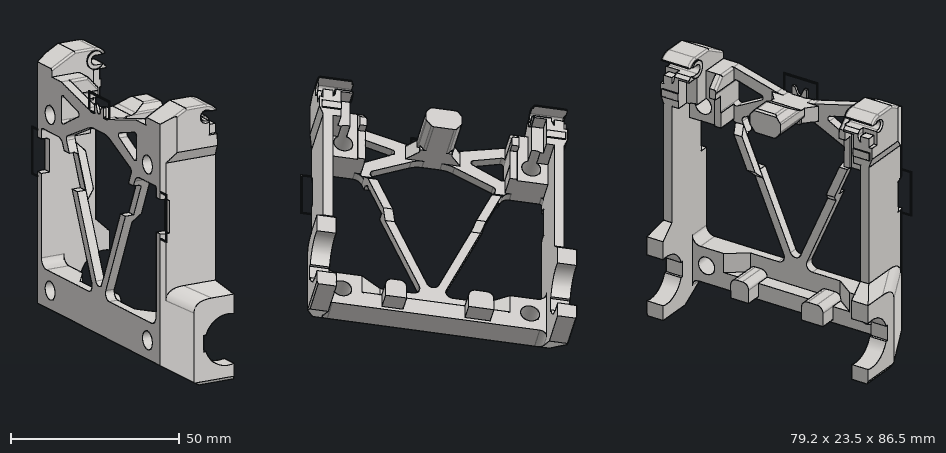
import cadquery as cq
import math

HEIGHT = 86.5
FACE_HALF = 36.0
TAPER = math.tan(math.radians(20))
WALL_X = 36.6
WALL_DEPTH = 18.75
OPENING_X = 33.6
WEB = 3.0
CORNER_DEPTH = 9.4

OPENING_CORNER_R = 2.9
OPENING_TOP_R = 0.7
LEG_FOOT_R = 2.1
LEG_HEAD_R = 3.0
APEX_R = 1.9
ARCH_CORNER_R = 1.2
ARCH_CROWN_R = 9.0
WINDOW_R = 0.9

BAR_BOTTOM = 7.0
BAR_TOP = 18.9
CORNER_BOTTOM = 62.3
SHOULDER_Z = 79.8
CREST_Z = 75.5
ARCH_Z = 70.4

FOOT_X = 39.5
FOOT_DEPTH = 23.5
FOOT_SLOPE_LOW = 26.6
FOOT_SLOPE_HIGH = 30.95
FOOT_TOE_Y = 11.5
FOOT_CHAMFER = (0.4, 1.0)
FOOT_BLEND = 9.5
FOOT_CORNER_R = 2.1
CRADLE_R = 8.0
CRADLE_Y, CRADLE_Z = 21.4, 12.75
CRADLE_SLOT_Y = 13.0
CRADLE_SLOT_W = 5.1

EAR_INNER, EAR_OUTER = 27.55, 37.75
EAR_FLARE_LOW, EAR_FLARE_HIGH = 70.1, 73.2
EAR_FACE_TOP = 82.3
EAR_TOP_FRONT, EAR_TOP_BACK = 7.9, 14.9
EAR_TIP_Y, EAR_TIP_Z = 18.5, 84.7
EAR_BACK_R = 4.5
EAR_EDGE = 0.6
EAR_BACK_CHAMFER = 1.0
SLOT_R = 1.5
SLOT_Y, SLOT_Z = 14.9, 82.8
SLOT_CHAMFER = 0.55
LIP_R, LIP_X, LIP_BACK = 2.85, 27.1, 17.4
RELIEF_X, RELIEF_Y, RELIEF_Z = 31.2, 14.4, 79.7
POCKET_Y, POCKET_LOW, POCKET_HIGH = 16.0, 76.9, 79.9
POCKET_DEPTH = 5.0
PAD_X, PAD_DEPTH, PAD_LOW, PAD_HIGH = 37.0, 19.2, 72.7, 75.2

HOLE_D = 5.75
HOLE_X = 28.55
HOLE_Z = (12.95, 67.75)

LEG_LEAN = 0.437
LEG_INNER_APEX = 19.2
LEG_SPREAD = 3.0
ARCH_CORNER_X, ARCH_CORNER_Z = 19.35, 63.5
ARCH_FLAT = 4.75
WINDOW_X = 22.0
WINDOW_TIP = (10.1, 72.6)
WINDOW_LOW, WINDOW_HIGH = 66.35, 76.0
CREST_SHOULDER_X, CREST_EDGE_X = 22.0, 5.5
CREST_ROUND = 9.5

NOTCH_LOW, NOTCH_HIGH, NOTCH_DEPTH = 48.1, 58.8, 2.85
NOTCH_CHAMFER = (1.0, 0.6)
BULGE_DEPTH = 5.6

STRIP_DEPTH, STRIP_TOP = 7.7, 12.5
RAMP_THIN_X, RAMP_THICK_X = 16.0, 22.5
HOOK_EDGE = 0.7
HOOK_X, HOOK_W, HOOK_DEPTH = 21.9, 2.3, 12.7
HOOK_ROOT_Y, HOOK_LOW, HOOK_HIGH = 10.0, 73.0, 76.2

ARM_HALF, ARM_TOP_HALF = 5.5, 3.6
ARM_TOP, ARM_SHOULDER = 78.3, 75.9
ARM_ROUND, ARM_EDGE = 1.0, 0.6
ARM_BACK, ARM_RAMP_LOW, ARM_RAMP_HIGH = 19.3, 9.6, 13.4
ARM_BASE_DEPTH, ARM_BASE_HALF, ARM_BASE_FOOT, ARM_BASE_STRAIGHT = 8.0, 4.9, 8.3, 1.0
TAB_HALF, TAB_DEPTH = 2.65, 0.9
TAB_GROOVE_HALF, TAB_GROOVE_Z, TAB_GROOVE_R = 1.6, 74.7, 0.7
LEDGE_HALF, LEDGE_DROP, LEDGE_DEPTH = 4.9, 0.35, 0.3

POST_LOW, POST_TOP, POST_BACK, POST_ROUND = 8.0, 14.7, 13.0, 2.2
POSTS = ((-16.45, -8.8), (10.05, 16.45))

WIRE_DEPTH = 0.25
WIDTH_OVER_LOOPS = 79.17
SIDE_LOOP_X = WIDTH_OVER_LOOPS / 2
SIDE_LOOP_Z = (46.4, 61.3)
SIDE_LOOP_RAIL, SIDE_LOOP_END = 0.55, 0.35
TOP_LOOP_HALF, TOP_LOOP_Z = 6.1, 81.4
TOP_LOOP_RAIL, TOP_LOOP_END = 0.5, 0.4

REACH = 100.0


def box(x0, x1, y0, y1, z0, z1):
    return cq.Workplane("XY").box(x1 - x0, y1 - y0, z1 - z0, centered=False).translate((x0, y0, z0))


def prism_y(points, y0, y1):
    """Extrude an (x, z) outline from y0 to y1."""
    return cq.Workplane("XZ", origin=(0, y0, 0)).polyline(points).close().extrude(y0 - y1)


def prism_x(points, x0, x1):
    """Extrude a (y, z) outline from x0 to x1."""
    return cq.Workplane("YZ", origin=(x0, 0, 0)).polyline(points).close().extrude(x1 - x0)


def prism_z(points, z0, z1):
    """Extrude an (x, y) outline from z0 to z1."""
    return cq.Workplane("XY", origin=(0, 0, z0)).polyline(points).close().extrude(z1 - z0)


def rod_x(y, z, radius, x0, x1):
    return cq.Workplane("YZ", origin=(x0, 0, 0)).center(y, z).circle(radius).extrude(x1 - x0)


def round_at(body, x, z, radius):
    """Round the edge along y that passes through (x, z)."""
    span = 0.05
    picker = cq.selectors.BoxSelector((x - span, -REACH, z - span), (x + span, REACH, z + span))
    return body.edges("|Y").edges(picker).fillet(radius)


def edges_on_plane(x, low_z, back_y):
    """Select edges in the plane at x whose middle is above low_z and in front of back_y."""
    span = 0.05
    return cq.selectors.BoxSelector((x - span, -1, low_z), (x + span, back_y, REACH))


def both_sides(body):
    return body.union(body.mirror("YZ"))


def leg_x(z, outer):
    """x of the inner or outer side of the right-hand leg at height z."""
    return LEG_LEAN * (z - LEG_INNER_APEX) + (LEG_SPREAD if outer else 0.0)


def taper_envelope():
    """Everything inside the leaning outer side."""
    return prism_z([(0, 0), (FACE_HALF, 0), (FACE_HALF + TAPER * REACH, REACH), (0, REACH)], -1, REACH)


def front_plate(depth):
    outline = [(0, BAR_BOTTOM), (WALL_X, BAR_BOTTOM), (WALL_X, SHOULDER_Z),
               (CREST_SHOULDER_X, SHOULDER_Z), (CREST_EDGE_X, CREST_Z), (0, CREST_Z)]
    return round_at(prism_y(outline, 0, depth), CREST_EDGE_X, CREST_Z, CREST_ROUND)


def thick_corners():
    upper = box(HOOK_X + HOOK_W, WALL_X, 0, CORNER_DEPTH, CORNER_BOTTOM, SHOULDER_Z)
    lower = prism_z([(0, 0), (WALL_X, 0), (WALL_X, STRIP_DEPTH), (RAMP_THICK_X, STRIP_DEPTH),
                     (RAMP_THIN_X, WEB), (0, WEB)], BAR_BOTTOM, BAR_TOP + OPENING_CORNER_R)
    strip = box(0, WALL_X, 0, STRIP_DEPTH, BAR_BOTTOM, STRIP_TOP)
    return upper.union(lower).union(strip)


def hook():
    outline = [(0, CORNER_BOTTOM), (HOOK_ROOT_Y, CORNER_BOTTOM), (HOOK_ROOT_Y, HOOK_LOW),
               (HOOK_DEPTH, HOOK_LOW), (HOOK_DEPTH, HOOK_HIGH), (CORNER_DEPTH, SHOULDER_Z), (0, SHOULDER_Z)]
    body = prism_x(outline, HOOK_X, HOOK_X + HOOK_W)
    return body.edges(edges_on_plane(HOOK_X, HOOK_HIGH + 1, CORNER_DEPTH + HOOK_DEPTH)).fillet(HOOK_EDGE)


def leg_bulge():
    """Raised back of the leg that carries it past the notch."""
    rise = BULGE_DEPTH - WEB
    side = prism_x([(WEB, NOTCH_LOW - rise), (BULGE_DEPTH, NOTCH_LOW), (BULGE_DEPTH, NOTCH_HIGH),
                    (WEB, NOTCH_HIGH + rise)], 0, WALL_X)
    z0, z1 = NOTCH_LOW - rise, NOTCH_HIGH + rise
    leg = prism_y([(leg_x(z0, False), z0), (leg_x(z0, True), z0),
                   (leg_x(z1, True), z1), (leg_x(z1, False), z1)], 0, BULGE_DEPTH)
    return side.intersect(leg)


def central_opening():
    """The full-width opening under the arch and between the legs."""
    points = [(0, LEG_INNER_APEX), (ARCH_CORNER_X, ARCH_CORNER_Z), (ARCH_FLAT, ARCH_Z),
              (-ARCH_FLAT, ARCH_Z), (-ARCH_CORNER_X, ARCH_CORNER_Z)]
    opening = prism_y(points, -1, WEB + 1)
    opening = round_at(opening, 0, LEG_INNER_APEX, APEX_R)
    for side in (-1, 1):
        opening = round_at(opening, side * ARCH_CORNER_X, ARCH_CORNER_Z, ARCH_CORNER_R)
        opening = round_at(opening, side * ARCH_FLAT, ARCH_Z, ARCH_CROWN_R)
    return opening


def side_opening():
    bottom_x = leg_x(BAR_TOP, True)
    top_x = leg_x(CORNER_BOTTOM, True)
    opening = prism_y([(bottom_x, BAR_TOP), (OPENING_X, BAR_TOP), (OPENING_X, CORNER_BOTTOM),
                       (top_x, CORNER_BOTTOM)], -1, REACH)
    opening = round_at(opening, bottom_x, BAR_TOP, LEG_FOOT_R)
    opening = round_at(opening, OPENING_X, BAR_TOP, OPENING_CORNER_R)
    opening = round_at(opening, OPENING_X, CORNER_BOTTOM, OPENING_TOP_R)
    return round_at(opening, top_x, CORNER_BOTTOM, LEG_HEAD_R)


def window():
    points = [WINDOW_TIP, (WINDOW_X, WINDOW_LOW), (WINDOW_X, WINDOW_HIGH)]
    return prism_y(points, -1, REACH).edges("|Y").fillet(WINDOW_R)


def screw_holes():
    spots = [(HOLE_X, z) for z in HOLE_Z]
    return cq.Workplane("XZ", origin=(0, -1, 0)).pushPoints(spots).circle(HOLE_D / 2).extrude(-REACH)


def notch():
    """Shallow channel across the front of the legs and side walls."""
    chamfer_y, chamfer_z = NOTCH_CHAMFER
    return prism_x([(-1, NOTCH_LOW), (NOTCH_DEPTH, NOTCH_LOW), (NOTCH_DEPTH, NOTCH_HIGH - chamfer_z),
                    (NOTCH_DEPTH - chamfer_y, NOTCH_HIGH), (-1, NOTCH_HIGH)], 0, REACH)


def foot():
    side = prism_x([(0, BAR_BOTTOM), (FOOT_TOE_Y, 0), (FOOT_DEPTH, 0), (FOOT_DEPTH, FOOT_SLOPE_LOW),
                    (WALL_DEPTH, FOOT_SLOPE_HIGH), (0, FOOT_SLOPE_HIGH)], 0, REACH)
    chamfer_x, chamfer_z = FOOT_CHAMFER
    face = prism_y([(OPENING_X, 0), (FOOT_X - chamfer_x, 0), (FOOT_X, chamfer_z), (FOOT_X, FOOT_SLOPE_LOW),
                    (WALL_X, FOOT_SLOPE_HIGH), (OPENING_X, FOOT_SLOPE_HIGH)], 0, FOOT_DEPTH)
    body = side.intersect(face).intersect(taper_envelope())
    blend_y = ((WALL_X - FACE_HALF) / TAPER + (FOOT_X - FACE_HALF) / TAPER) / 2
    middle = ((WALL_X + FOOT_X) / 2, blend_y, (FOOT_SLOPE_LOW + FOOT_SLOPE_HIGH) / 2)
    return body.edges(cq.selectors.NearestToPointSelector(middle)).fillet(FOOT_BLEND)


def cradle():
    """Round seat across the foot, with a flat-bottomed slot in its floor."""
    seat = rod_x(CRADLE_Y, CRADLE_Z, CRADLE_R, 0, REACH)
    slot = box(0, REACH, CRADLE_SLOT_Y, CRADLE_Y,
               CRADLE_Z - CRADLE_SLOT_W / 2, CRADLE_Z + CRADLE_SLOT_W / 2)
    return seat.union(slot)


def foot_corner():
    """Concave fillet between the foot and the underside of the lower bar."""
    block = box(OPENING_X - FOOT_CORNER_R, OPENING_X, 0, STRIP_DEPTH, BAR_BOTTOM - FOOT_CORNER_R, BAR_BOTTOM)
    scoop = cq.Workplane("XZ").center(OPENING_X - FOOT_CORNER_R, BAR_BOTTOM - FOOT_CORNER_R)
    block = block.cut(scoop.circle(FOOT_CORNER_R).extrude(-REACH))
    sole = prism_x([(0, BAR_BOTTOM), (FOOT_TOE_Y, 0), (FOOT_TOE_Y, BAR_BOTTOM)], 0, REACH)
    return block.intersect(sole)


def ear_slot():
    """Slot through the ear, open at the back and round at its inner end."""
    slot = box(0, REACH, SLOT_Y, REACH, SLOT_Z - SLOT_R, SLOT_Z + SLOT_R)
    return slot.union(rod_x(SLOT_Y, SLOT_Z, SLOT_R, 0, REACH))


def slot_countersink():
    """Cone that chamfers the round end of the slot on the outer face."""
    cone = cq.Workplane("YZ", origin=(EAR_OUTER, SLOT_Y, SLOT_Z)).circle(SLOT_R + SLOT_CHAMFER)
    return cone.workplane(offset=-SLOT_CHAMFER).circle(SLOT_R).loft()


def ear_pocket():
    """Recess with a rounded floor in the outer back corner below the slot."""
    radius = POCKET_HIGH - POCKET_LOW
    inner_x = EAR_OUTER - POCKET_DEPTH
    scoop_x = inner_x + radius
    upper = box(inner_x, REACH, POCKET_Y, REACH, POCKET_HIGH, SLOT_Z)
    lower = box(scoop_x, REACH, POCKET_Y, REACH, POCKET_LOW, SLOT_Z)
    scoop = cq.Workplane("XZ", origin=(scoop_x, POCKET_Y, POCKET_HIGH)).circle(radius).extrude(-REACH)
    return upper.union(lower).union(scoop)


def ear_body():
    """Solid ear with a flared underside, a rounded top back and softened side edges."""
    slot_low, slot_high = SLOT_Z - SLOT_R, SLOT_Z + SLOT_R
    side = cq.Workplane("YZ").polyline([
        (EAR_TOP_BACK, HEIGHT), (EAR_TOP_FRONT, HEIGHT), (0, EAR_FACE_TOP), (0, EAR_FLARE_LOW),
        (WALL_DEPTH, EAR_FLARE_LOW), (WALL_DEPTH, slot_low - EAR_BACK_CHAMFER),
        (WALL_DEPTH - EAR_BACK_CHAMFER, slot_low), (EAR_TIP_Y, slot_high), (EAR_TIP_Y, EAR_TIP_Z)])
    side = side.radiusArc((EAR_TOP_BACK, HEIGHT), -EAR_BACK_R).close().extrude(REACH)
    face = prism_y([(EAR_INNER, EAR_FLARE_LOW), (WALL_X, EAR_FLARE_LOW), (EAR_OUTER, EAR_FLARE_HIGH),
                    (EAR_OUTER, HEIGHT), (EAR_INNER, HEIGHT)], 0, REACH)
    body = side.intersect(face).intersect(taper_envelope())
    tip_margin = 0.1
    for plane_x in (EAR_INNER, EAR_OUTER):
        picker = edges_on_plane(plane_x, EAR_FACE_TOP + 1, EAR_TIP_Y - tip_margin)
        body = body.edges(picker).fillet(EAR_EDGE)
    return body


def ear():
    lip = rod_x(SLOT_Y, SLOT_Z, LIP_R, LIP_X, EAR_INNER)
    lip = lip.intersect(box(LIP_X, EAR_INNER, 0, LIP_BACK, 0, HEIGHT))
    relief = box(0, RELIEF_X, RELIEF_Y, REACH, 0, RELIEF_Z)
    pad = box(RELIEF_X, PAD_X, WALL_DEPTH - 1, PAD_DEPTH, PAD_LOW, PAD_HIGH)
    body = ear_body().union(lip).cut(relief).cut(ear_pocket())
    return body.cut(ear_slot()).cut(slot_countersink()).union(pad)


def side_wall():
    wall = box(OPENING_X, WALL_X, 0, WALL_DEPTH, BAR_BOTTOM, SHOULDER_Z)
    return wall.intersect(taper_envelope())


def side_loop():
    low, high = SIDE_LOOP_Z
    loop = box(OPENING_X, SIDE_LOOP_X, 0, WIRE_DEPTH, low, high)
    hollow = box(0, SIDE_LOOP_X - SIDE_LOOP_RAIL, -1, 1, low + SIDE_LOOP_END, high - SIDE_LOOP_END)
    return loop.cut(hollow)


def arm():
    """Central arm reaching back from the crest, on a thickened base."""
    low_shoulder = ARCH_Z + ARM_TOP - ARM_SHOULDER
    profile = prism_y([(-ARM_HALF, ARM_SHOULDER), (-ARM_TOP_HALF, ARM_TOP), (ARM_TOP_HALF, ARM_TOP),
                       (ARM_HALF, ARM_SHOULDER), (ARM_HALF, low_shoulder), (ARM_TOP_HALF, ARCH_Z),
                       (-ARM_TOP_HALF, ARCH_Z), (-ARM_HALF, low_shoulder)], 0, ARM_BACK)
    profile = profile.edges("|Y").fillet(ARM_ROUND)
    side = prism_x([(0, ARCH_Z), (ARM_BACK, ARCH_Z), (ARM_BACK, ARM_TOP - ARM_EDGE),
                    (ARM_BACK - ARM_EDGE, ARM_TOP), (ARM_RAMP_HIGH, ARM_TOP),
                    (ARM_RAMP_LOW, CREST_Z + ARM_EDGE), (ARM_BASE_DEPTH, CREST_Z), (0, CREST_Z)],
                   -REACH, REACH)
    return profile.intersect(side)


def arm_base():
    """Thickened crest under the arm, flaring towards the front."""
    depth = ARM_BASE_DEPTH
    half = [(0, WEB), (ARM_BASE_FOOT, WEB),
            (ARM_BASE_HALF, depth - ARM_BASE_STRAIGHT), (ARM_BASE_HALF, depth), (0, depth)]
    return both_sides(prism_z(half, ARCH_Z, CREST_Z).intersect(front_plate(depth)))


def ledges():
    """Shallow step in the front face on each side of the tab."""
    return box(-LEDGE_HALF, LEDGE_HALF, -1, LEDGE_DEPTH, CREST_Z - LEDGE_DROP, REACH)


def tab():
    """Small front tab with a rounded V groove."""
    body = box(-TAB_HALF, TAB_HALF, 0, TAB_DEPTH, CREST_Z - LEDGE_DROP, ARM_TOP)
    groove = prism_y([(0, TAB_GROOVE_Z), (TAB_GROOVE_HALF, ARM_TOP), (-TAB_GROOVE_HALF, ARM_TOP)],
                     -1, TAB_DEPTH)
    return body.cut(round_at(groove, 0, TAB_GROOVE_Z, TAB_GROOVE_R))


def top_loop():
    loop = box(-TOP_LOOP_HALF, TOP_LOOP_HALF, 0, WIRE_DEPTH, CREST_Z - 1, TOP_LOOP_Z)
    inner = TOP_LOOP_HALF - TOP_LOOP_END
    return loop.cut(box(-inner, inner, -1, 1, 0, TOP_LOOP_Z - TOP_LOOP_RAIL))


def post(x0, x1):
    body = box(x0, x1, 0, POST_BACK, POST_LOW, POST_TOP)
    return body.edges("|Y and >Z").fillet(POST_ROUND)


def half_frame():
    frame = front_plate(WEB).union(thick_corners()).union(hook()).union(leg_bulge())
    frame = frame.intersect(taper_envelope())
    frame = frame.cut(side_opening()).cut(window())
    frame = frame.union(side_wall()).union(foot()).union(foot_corner()).union(ear())
    return frame.cut(cradle()).cut(screw_holes()).cut(notch()).union(side_loop())


result = both_sides(half_frame()).cut(central_opening())
result = result.union(arm_base()).union(arm()).cut(ledges()).union(tab()).union(top_loop())
for post_range in POSTS:
    result = result.union(post(*post_range))